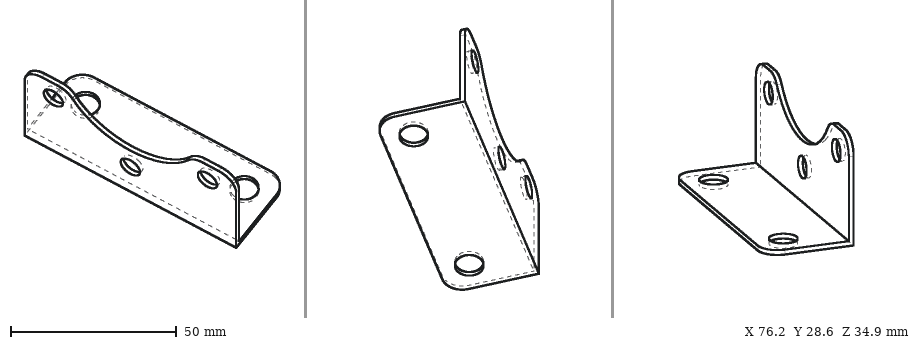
import cadquery as cq
import math

length = 76.2
depth = 28.6
height = 34.9
thickness = 1.6
corner_radius = 6.3

saddle_radius = 25.4
saddle_bottom = 21.25
shoulder_radius = corner_radius

small_hole_diameter = 6.9
ear_hole_offset = 27.7
ear_hole_height = 27.2
center_hole_height = 12.7
base_hole_diameter = 8.7
base_hole_offset = length * 3 / 8
base_hole_y = 19.05


def make_base():
    """Flat plate with rounded rear corners and two mounting holes."""
    plate = cq.Workplane("XY").box(length, depth, thickness, centered=(True, False, False))
    plate = plate.edges("|Z and >Y").fillet(corner_radius)
    holes = (
        cq.Workplane("XY")
        .pushPoints([(-base_hole_offset, base_hole_y), (base_hole_offset, base_hole_y)])
        .circle(base_hole_diameter / 2)
        .extrude(thickness)
    )
    return plate.cut(holes)


def make_upright():
    """Upright plate with a saddle blended into two rounded ears."""
    half_length = length / 2
    saddle_center_z = saddle_bottom + saddle_radius

    shoulder_center_z = height - shoulder_radius
    center_distance = saddle_radius + shoulder_radius
    center_rise = saddle_center_z - shoulder_center_z
    shoulder_x = math.sqrt(center_distance**2 - center_rise**2)
    tangent_x = shoulder_x * saddle_radius / center_distance
    tangent_z = saddle_center_z - center_rise * saddle_radius / center_distance

    corner_x = half_length - corner_radius
    corner_z = height - corner_radius
    outline = (
        cq.Workplane("XZ")
        .moveTo(-half_length, 0)
        .lineTo(half_length, 0)
        .lineTo(half_length, corner_z)
        .radiusArc((corner_x, height), -corner_radius)
        .lineTo(shoulder_x, height)
        .radiusArc((tangent_x, tangent_z), -shoulder_radius)
        .threePointArc((0, saddle_bottom), (-tangent_x, tangent_z))
        .radiusArc((-shoulder_x, height), -shoulder_radius)
        .lineTo(-corner_x, height)
        .radiusArc((-half_length, corner_z), -corner_radius)
        .close()
    )
    plate = outline.extrude(-thickness)
    hole_centers = [
        (-ear_hole_offset, ear_hole_height),
        (0, center_hole_height),
        (ear_hole_offset, ear_hole_height),
    ]
    holes = (
        cq.Workplane("XZ")
        .pushPoints(hole_centers)
        .circle(small_hole_diameter / 2)
        .extrude(-thickness)
    )
    return plate.cut(holes)


result = make_base().union(make_upright())